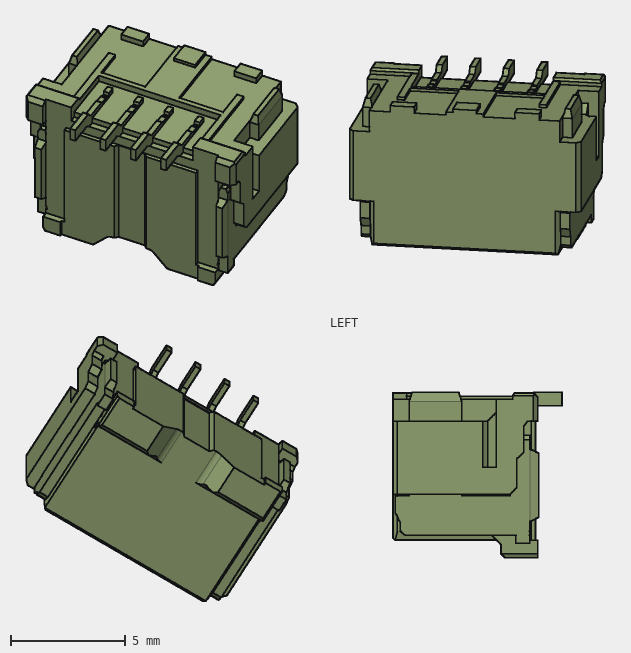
import cadquery as cq


outer_half = 5.15
core_half = 4.23
inner_shell_half = 4.67
core_front = 6.055
proud_front = 6.345
core_bottom = 0.77
core_top = 6.94
core_bevel_width, core_bevel_height = 0.10, 0.40
header_top = 7.22
part_top = 7.25
corner_chamfer = 0.2
rear_edge_chamfer = 0.1

shell_bottom = 2.79
shell_top = 5.98
slot_rear, slot_bevel_end, slot_front = 3.93, 4.14, 4.53
slot_floor = 3.97
slot_bevel_width = 0.16
ramp_top = shell_top + slot_front - slot_bevel_end
step_edge_foot, step_lower_depth, step_upper_depth = 5.14, 5.41, 5.73
step_edge = [
    (step_edge_foot, shell_bottom),
    (step_lower_depth, 3.07),
    (step_lower_depth, 4.32),
    (step_upper_depth, 4.62),
]
shell_nose = [(step_upper_depth, 5.77), (5.90, shell_top)]

header_rear = 5.24
header_bevel_width, header_bevel_height = 0.09, 0.12

raised_top = 7.07
strip_half = 0.83
rib_rear, rib_outer = 1.80, 3.31
band_rear, band_front = 3.15, 3.39
tab_outer, tab_inner, tab_front = 3.31, 2.24, 0.60
key_half, key_front = 0.52, 1.00
pocket_half = 2.99
pocket_floor = 6.75
pocket_step_depth, pocket_step_floor = 5.77, 6.47

lip_rear = 4.72
lip_shoulder = 0.59
lip_join_rise = 0.40
lip_bevel = 0.18
foot_inner = 3.37
foot_chamfer = 0.10
panel_front = 6.24
panel_half = 3.23
notch_bottom_half = 1.82
notch_round = 0.4
channel_half, channel_floor_half = 0.79, 0.64
channel_floor = 6.085

clip_outer = 4.66
clip_top, clip_bottom = 5.37, 0.63
clip_rail_top = 2.71
clip_lower_edge = 0.99
clip_rear, clip_front = 0.10, 5.985
clip_heel = 5.38
clip_rear_edge = [(clip_rear, 1.975), (0.31, 1.56), (0.31, 1.17), (0.53, clip_lower_edge)]
clip_tip_bevel, clip_tip_height = 0.09, 0.20
clip_tab_rear, clip_tab_front = 0.71, 3.01
clip_tab_shoulder = 6.86
clip_tab_taper, clip_tab_side_taper = 0.13, 0.10
bulge_front = 6.385
bulge_bottom, bulge_top = 1.58, 4.77
bulge_taper = 0.19
bulge_side_taper = 0.06

pin_count = 4
pin_pitch = 1.486
pin_width = 0.26
pin_rear, pin_tip = 3.78, 7.40
pin_low_top = 6.97
pin_underside = 6.65
pin_heel = 6.30
pin_dip = [(4.15, pin_low_top), (4.18, 6.81), (4.25, 6.81), (4.45, 6.90), (4.84, 6.92), (4.87, pin_low_top)]
pin_ramp_start = (5.90, pin_low_top)
pin_ramp_end = 6.15


def block(x0, x1, d0, d1, z0, z1):
    """Box between two X values, two depths and two heights."""
    size = (x1 - x0, d1 - d0, z1 - z0)
    return cq.Workplane("XY").box(*size, centered=False).translate((x0, -d1, z0))


def side_profile(points, x0, x1):
    """Extrude a (depth, height) outline from x0 to x1."""
    outline = [(-depth, z) for depth, z in points]
    return cq.Workplane("YZ").workplane(offset=x0).polyline(outline).close().extrude(x1 - x0)


def plan_profile(points, z0, z1):
    """Extrude an (x, depth) outline from z0 to z1."""
    outline = [(x, -depth) for x, depth in points]
    return cq.Workplane("XY").workplane(offset=z0).polyline(outline).close().extrude(z1 - z0)


def front_profile(points, d0, d1):
    """Extrude an (x, height) outline from depth d0 to depth d1."""
    return cq.Workplane("XZ").workplane(offset=d0).polyline(points).close().extrude(d1 - d0)


def both_sides(right):
    """Join a +X feature with its mirror image on -X."""
    return right.union(right.mirror("YZ"))


def make_core():
    body = block(-core_half, core_half, 0, core_front, core_bottom, core_top)
    lower = block(-core_half, core_half, 0, core_front, core_bottom, shell_bottom)
    trimmed = front_profile(
        [
            (-core_half, shell_bottom),
            (-core_half, core_bottom + core_bevel_height),
            (-core_half + core_bevel_width, core_bottom),
            (core_half - core_bevel_width, core_bottom),
            (core_half, core_bottom + core_bevel_height),
            (core_half, shell_bottom),
        ],
        0,
        core_front,
    )
    trimmed = trimmed.intersect(
        plan_profile(
            [
                (-core_half, core_front),
                (-core_half, corner_chamfer),
                (-core_half + corner_chamfer, 0),
                (core_half - corner_chamfer, 0),
                (core_half, corner_chamfer),
                (core_half, core_front),
            ],
            core_bottom,
            shell_bottom,
        )
    )
    trimmed = trimmed.faces(">Y").edges("<Z").chamfer(rear_edge_chamfer)
    return body.cut(lower).union(trimmed)


def make_shells():
    outline = [(0, shell_bottom), (0, shell_top), (slot_bevel_end, shell_top)]
    outline += [(slot_front, ramp_top), (slot_front, core_top), (core_front, core_top)]
    outline += [(core_front, shell_top)] + shell_nose[::-1] + step_edge[::-1]
    shell = side_profile(outline, core_half, outer_half)
    shell = shell.edges("|Z and >X and >Y").chamfer(corner_chamfer)

    bevel_x = inner_shell_half + slot_bevel_width
    slot = plan_profile(
        [
            (outer_half, slot_rear),
            (bevel_x, slot_rear),
            (inner_shell_half, slot_bevel_end),
            (inner_shell_half, slot_front),
            (outer_half, slot_front),
        ],
        slot_floor,
        core_top,
    )
    clip_channel = block(
        core_half, inner_shell_half, step_lower_depth, core_front, shell_bottom, shell_top
    )
    return both_sides(shell.cut(slot).cut(clip_channel))


def make_header():
    from_side = side_profile(
        [
            (header_rear, shell_top),
            (header_rear, header_top - header_bevel_height),
            (header_rear + header_bevel_width, header_top),
            (proud_front - corner_chamfer, header_top),
            (proud_front, header_top - corner_chamfer),
            (proud_front, shell_top),
        ],
        -outer_half,
        outer_half,
    )
    from_front = front_profile(
        [
            (-outer_half, shell_top),
            (-outer_half, header_top - header_bevel_height),
            (-outer_half + header_bevel_width, header_top),
            (outer_half - header_bevel_width, header_top),
            (outer_half, header_top - header_bevel_height),
            (outer_half, shell_top),
        ],
        header_rear,
        proud_front,
    )
    from_above = plan_profile(
        [
            (-outer_half, header_rear),
            (-outer_half, proud_front - corner_chamfer),
            (-outer_half + corner_chamfer, proud_front),
            (outer_half - corner_chamfer, proud_front),
            (outer_half, proud_front - corner_chamfer),
            (outer_half, header_rear),
        ],
        shell_top,
        header_top,
    )
    between_ears = block(-core_half, core_half, core_front, proud_front, shell_top, header_top)
    return from_side.intersect(from_front).intersect(from_above).cut(between_ears)


def make_top_details():
    tab = block(tab_inner, tab_outer, 0, tab_front, core_top, header_top)
    rib = block(pocket_half, rib_outer, rib_rear, header_rear, core_top, raised_top)
    strip = block(-strip_half, strip_half, 0, band_front, core_top, raised_top)
    band = block(-pocket_half, pocket_half, band_rear, band_front, core_top, raised_top)
    key = block(-key_half, key_half, 0, key_front, core_top, header_top)
    return both_sides(tab.union(rib)).union(strip).union(band).union(key)


def make_pin_pocket():
    pocket = block(-pocket_half, pocket_half, band_front, core_front, pocket_floor, part_top)
    step = block(-pocket_half, pocket_half, pocket_step_depth, core_front, pocket_step_floor, part_top)
    return pocket.union(step)


def make_front_lip():
    lip = side_profile(
        [
            (lip_rear - lip_join_rise, lip_shoulder + lip_join_rise),
            (lip_rear, lip_shoulder),
            (lip_rear, lip_bevel),
            (lip_rear + lip_bevel, 0),
            (proud_front, 0),
            (proud_front, core_bottom),
            (core_front, core_bottom),
            (core_front, lip_shoulder + lip_join_rise),
        ],
        -core_half,
        core_half,
    )
    for side in (-1, 1):
        corner = [
            (side * core_half, 0),
            (side * (core_half - foot_chamfer), 0),
            (side * core_half, lip_bevel),
        ]
        lip = lip.cut(front_profile(corner, lip_rear, proud_front))
    between_feet = block(-foot_inner, foot_inner, panel_front, proud_front, 0, core_bottom)
    return lip.cut(between_feet)


def make_notch():
    """Sloped-sided opening through the lip, rounded where it meets its flat top."""
    top_half = notch_bottom_half - core_bottom
    outline = [(-notch_bottom_half, 0), (notch_bottom_half, 0)]
    outline += [(top_half, core_bottom), (-top_half, core_bottom)]
    notch = front_profile(outline, lip_rear - lip_join_rise, proud_front)
    return notch.faces(">Z").edges("|Y").fillet(notch_round)


def make_front_panel():
    panel = block(-panel_half, panel_half, core_front, panel_front, core_bottom, shell_top)
    channel = plan_profile(
        [
            (-channel_half, panel_front),
            (-channel_floor_half, channel_floor),
            (channel_floor_half, channel_floor),
            (channel_half, panel_front),
        ],
        0,
        shell_top,
    )
    return panel, channel


def make_clips():
    outline = [(clip_rear, clip_rail_top)] + clip_rear_edge
    outline += [(clip_heel, clip_lower_edge), (clip_heel, clip_bottom), (clip_front, clip_bottom)]
    outline += [(clip_front, clip_top), (step_upper_depth, clip_top)] + step_edge[::-1]
    outline += [(step_edge_foot, clip_rail_top)]
    plate = side_profile(outline, core_half, clip_outer)
    tip_shape = front_profile(
        [
            (core_half, 0),
            (core_half, clip_top - clip_tip_height),
            (core_half + clip_tip_bevel, clip_top),
            (clip_outer - clip_tip_bevel, clip_top),
            (clip_outer, clip_top - clip_tip_height),
            (clip_outer, 0),
        ],
        0,
        clip_front,
    )

    tab_side = side_profile(
        [
            (clip_tab_rear, clip_rail_top),
            (clip_tab_rear, clip_tab_shoulder),
            (clip_tab_rear + clip_tab_taper, part_top),
            (clip_tab_front - clip_tab_taper, part_top),
            (clip_tab_front, clip_tab_shoulder),
            (clip_tab_front, clip_rail_top),
        ],
        core_half,
        clip_outer,
    )
    tab_face = front_profile(
        [
            (core_half, clip_rail_top),
            (core_half, clip_tab_shoulder),
            (core_half + clip_tab_side_taper, part_top),
            (clip_outer - clip_tab_side_taper, part_top),
            (clip_outer, clip_tab_shoulder),
            (clip_outer, clip_rail_top),
        ],
        clip_tab_rear,
        clip_tab_front,
    )

    bulge_side = side_profile(
        [
            (clip_front, bulge_bottom),
            (bulge_front, bulge_bottom + bulge_taper),
            (bulge_front, bulge_top - bulge_taper),
            (clip_front, bulge_top),
        ],
        core_half,
        clip_outer,
    )
    bulge_plan = plan_profile(
        [
            (core_half, clip_front),
            (core_half + bulge_side_taper, bulge_front),
            (clip_outer - bulge_side_taper, bulge_front),
            (clip_outer, clip_front),
        ],
        bulge_bottom,
        bulge_top,
    )
    clip = plate.intersect(tip_shape)
    clip = clip.union(tab_side.intersect(tab_face)).union(bulge_side.intersect(bulge_plan))
    return both_sides(clip)


def make_pins():
    outline = [(pin_rear, pocket_step_floor), (pin_rear, pin_low_top)] + pin_dip
    outline += [pin_ramp_start, (pin_ramp_end, part_top), (pin_tip, part_top), (pin_tip, pin_underside)]
    outline += [(pin_heel, pin_underside), (core_front, pocket_step_floor)]
    pins = cq.Workplane("XY")
    for index in range(pin_count):
        x = (index - (pin_count - 1) / 2) * pin_pitch
        pins = pins.add(side_profile(outline, x - pin_width / 2, x + pin_width / 2))
    return pins.combine()


panel, channel = make_front_panel()
housing = make_core().union(make_shells()).union(make_header()).union(make_top_details())
housing = housing.cut(make_pin_pocket()).union(make_front_lip()).union(panel)
housing = housing.cut(make_notch()).cut(channel)
result = housing.union(make_clips()).union(make_pins())